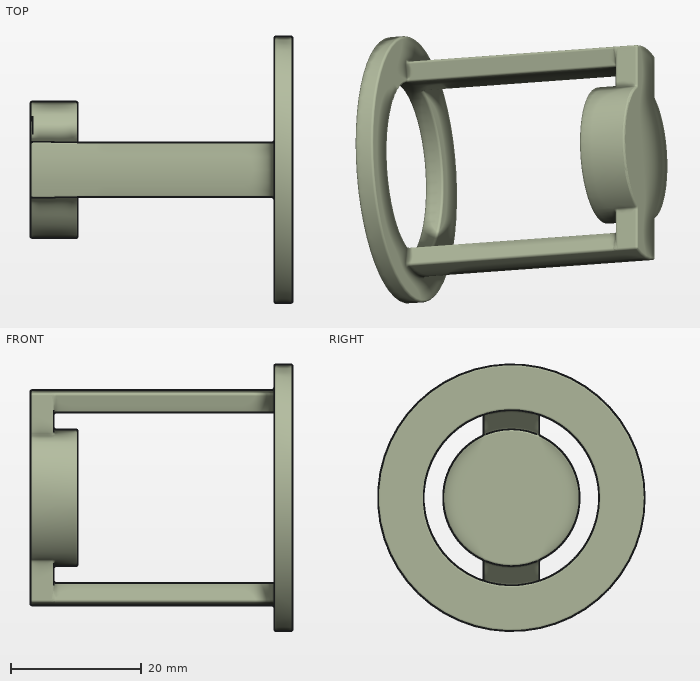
import cadquery as cq
import math

overall_length = 40.28
ring_diameter = 41.0
bore_diameter = 26.9
ring_thickness = 2.85

hub_diameter = 21.0
hub_length = 7.3

arm_outer_diameter = 33.1
arm_half_angle = math.radians(15)
tab_thickness = 3.6

edge_radius = 0.35

hub_end = -overall_length / 2
ring_face = hub_end + overall_length - ring_thickness
arm_length = ring_face - hub_end
arm_radius = arm_outer_diameter / 2
tab_half_width = arm_radius * math.sin(arm_half_angle)
tab_corner_height = arm_radius * math.cos(arm_half_angle)


def cylinder(diameter, start, length):
    """Round bar on the X axis, from x = start."""
    return cq.Workplane("YZ", origin=(start, 0, 0)).circle(diameter / 2).extrude(length)


def wedge(direction):
    """Triangular bar that bounds the radial sides of one arm; direction is +1 for +Z, -1 for -Z."""
    half_width = arm_radius * math.tan(arm_half_angle)
    tip_height = direction * arm_radius
    return (
        cq.Workplane("YZ", origin=(hub_end, 0, 0))
        .polyline([(0, 0), (half_width, tip_height), (-half_width, tip_height)])
        .close()
        .extrude(arm_length)
    )


def arm_blank(direction):
    """Pie-slice bar with a rounded outer face, reaching in to the axis."""
    return wedge(direction).intersect(cylinder(arm_outer_diameter, hub_end, arm_length))


def frame():
    """Ring and arms, hollowed by one bore that also forms the inner faces of the arms."""
    blank = cylinder(ring_diameter, ring_face, ring_thickness)
    for direction in (1, -1):
        blank = blank.union(arm_blank(direction))
    return blank.cut(cylinder(bore_diameter, hub_end, overall_length))


def tabs():
    """Flat bar across the hub, with ends rounded to the outside of the arms."""
    return (
        cq.Workplane("YZ", origin=(hub_end, 0, 0))
        .moveTo(tab_half_width, -tab_corner_height)
        .lineTo(tab_half_width, tab_corner_height)
        .threePointArc((0, arm_radius), (-tab_half_width, tab_corner_height))
        .lineTo(-tab_half_width, -tab_corner_height)
        .threePointArc((0, -arm_radius), (tab_half_width, -tab_corner_height))
        .close()
        .extrude(tab_thickness)
    )


hub = cylinder(hub_diameter, hub_end, hub_length)
body = frame().union(tabs()).union(hub)
result = body.edges().fillet(edge_radius)